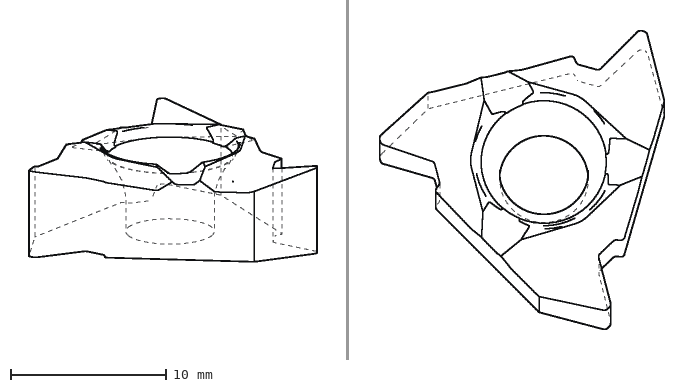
import cadquery as cq
import math


TEETH = 3
HEIGHT = 5.83
APOTHEM = 6.35

TOOTH_X = -3.84
TOOTH_TIP_Y = -9.91
TOOTH_HALF_ANGLE = 30.6
TIP_WIDTH = 0.5
TIP_RADIUS = 0.33
ROOT_Y = -6.83
ROOT_RADIUS = 0.25
NOTCH_END_X = -0.3
NOTCH_RADIUS = 0.28
BUMP_X = 0.1
BUMP_RADIUS = 0.22

FLOOR_Z = 4.63
RAKE_ANGLE = 15
RAKE_START_Y = -5.7
BEND_X = -1.1
WALL_FOOT_Y = -5.55
WALL_TOP_Y = -4.65
FOOT_TURN_ANGLE = 21
TOP_TURN_ANGLE = 27.5
BEND_LENGTH = 0.5
RAKE_BLEND_LENGTH = 0.05
FLOOR_EDGE_Y = RAKE_START_Y + RAKE_BLEND_LENGTH
FOOT_BLEND_RADIUS = 0.15

CHANNEL_ANGLE = 194
CHANNEL_FLOOR_Z = 5.05
CHANNEL_FLOOR_WIDTH = 1.15
CHANNEL_TOP_WIDTH = 3.06
CHANNEL_BLEND_RADIUS = 0.24

BORE_RADIUS = 5.7 / 2
FLARE_START_Z = 2.07
FLARE_RADIUS = 4.1
RIM_RADIUS = 3.9
LIP_RADIUS = 4.05
RECESS_Z = 5.11
RECESS_WALL_RADIUS = 4.19
RECESS_TOP_RADIUS = 4.47
RECESS_BLEND_RADIUS = 0.17
RECESS_EDGE_RADIUS = 0.15

PICK_MARGIN = 0.02
REACH = 12.92


def rotated(point, degrees):
    angle = math.radians(degrees)
    x, y = point
    return (x * math.cos(angle) - y * math.sin(angle), x * math.sin(angle) + y * math.cos(angle))


def tooth_corners():
    """Sharp corners of one third of the outline, each with its rounding radius."""
    slope = math.tan(math.radians(TOOTH_HALF_ANGLE))
    tip_left = TOOTH_X - TIP_WIDTH / 2
    tip_right = TOOTH_X + TIP_WIDTH / 2
    side_y = TOOTH_TIP_Y + (tip_left + APOTHEM) / slope
    root_x = tip_right + (ROOT_Y - TOOTH_TIP_Y) * slope
    bump_y = (BUMP_X * math.cos(math.pi / TEETH) - APOTHEM) / math.sin(math.pi / TEETH)
    return [
        ((-APOTHEM, side_y), 0),
        ((tip_left, TOOTH_TIP_Y), TIP_RADIUS),
        ((tip_right, TOOTH_TIP_Y), TIP_RADIUS),
        ((root_x, ROOT_Y), ROOT_RADIUS),
        ((NOTCH_END_X, ROOT_Y), NOTCH_RADIUS),
        ((BUMP_X, bump_y), BUMP_RADIUS),
    ]


def make_blank():
    corners = []
    for i in range(TEETH):
        for point, radius in tooth_corners():
            corners.append((rotated(point, i * 360 / TEETH), radius))
    blank = cq.Workplane("XY").polyline([point for point, _ in corners]).close().extrude(HEIGHT)
    for (x, y), radius in corners:
        if radius > 0:
            edge = cq.selectors.NearestToPointSelector((x, y, HEIGHT / 2))
            blank = blank.edges("|Z").edges(edge).fillet(radius)
    return blank


def make_rake_cutter():
    """Space above the sloping tooth face, which blends into the floor."""
    rake = math.radians(RAKE_ANGLE)
    blend_radius = RAKE_BLEND_LENGTH / math.tan(rake / 2)
    blend_mid_y = FLOOR_EDGE_Y - blend_radius * math.sin(rake / 2)
    blend_mid_z = FLOOR_Z + blend_radius * (1 - math.cos(rake / 2))
    blend_end_y = RAKE_START_Y - RAKE_BLEND_LENGTH * math.cos(rake)
    blend_end_z = FLOOR_Z + RAKE_BLEND_LENGTH * math.sin(rake)
    return (
        cq.Workplane("YZ", origin=(-REACH, 0, 0))
        .moveTo(FLOOR_EDGE_Y, FLOOR_Z)
        .threePointArc((blend_mid_y, blend_mid_z), (blend_end_y, blend_end_z))
        .lineTo(-REACH, FLOOR_Z + (REACH + RAKE_START_Y) * math.tan(rake))
        .lineTo(-REACH, REACH)
        .lineTo(FLOOR_EDGE_Y, REACH)
        .close()
        .extrude(2 * REACH)
    )


def wall_outline(plane, wall_y, turn_angle):
    """Floor space at one level: a straight wall line with a rounded bend."""
    turn = math.radians(turn_angle)
    left_y = wall_y + (BEND_X + REACH) * math.tan(turn)
    bend_end = (BEND_X - BEND_LENGTH * math.cos(turn), wall_y + BEND_LENGTH * math.sin(turn))
    return (
        plane.moveTo(REACH, FLOOR_EDGE_Y)
        .lineTo(REACH, wall_y)
        .lineTo(BEND_X + BEND_LENGTH, wall_y)
        .tangentArcPoint(bend_end, relative=False)
        .lineTo(-REACH, left_y)
        .lineTo(-REACH, FLOOR_EDGE_Y)
        .close()
    )


def make_wall_cutter():
    foot = wall_outline(cq.Workplane("XY", origin=(0, 0, FLOOR_Z)), WALL_FOOT_Y, FOOT_TURN_ANGLE)
    both = wall_outline(foot.workplane(offset=HEIGHT - FLOOR_Z), WALL_TOP_Y, TOP_TURN_ANGLE)
    wall_space = both.loft(ruled=True)
    foot_edges = cq.selectors.BoxSelector(
        (PICK_MARGIN - REACH, WALL_FOOT_Y - PICK_MARGIN, FLOOR_Z - PICK_MARGIN),
        (REACH - PICK_MARGIN, 0, FLOOR_Z + PICK_MARGIN),
    )
    return wall_space.faces("<Z").edges(foot_edges).fillet(FOOT_BLEND_RADIUS)


def make_channel_cutter():
    return (
        cq.Workplane("YZ")
        .moveTo(-CHANNEL_FLOOR_WIDTH / 2, CHANNEL_FLOOR_Z)
        .lineTo(CHANNEL_FLOOR_WIDTH / 2, CHANNEL_FLOOR_Z)
        .lineTo(CHANNEL_TOP_WIDTH / 2, HEIGHT)
        .lineTo(-CHANNEL_TOP_WIDTH / 2, HEIGHT)
        .close()
        .extrude(REACH)
        .faces("<Z")
        .edges("|X")
        .fillet(CHANNEL_BLEND_RADIUS)
        .rotate((0, 0, 0), (0, 0, 1), CHANNEL_ANGLE)
    )


def flare_point(radius):
    """Point of the flare arc, which leaves the bore tangentially."""
    across = FLARE_RADIUS - (radius - BORE_RADIUS)
    return (radius, FLARE_START_Z + math.sqrt(FLARE_RADIUS**2 - across**2))


def make_bore_cutter():
    bore = (
        cq.Workplane("XZ")
        .lineTo(BORE_RADIUS, 0)
        .lineTo(BORE_RADIUS, FLARE_START_Z)
        .threePointArc(flare_point((BORE_RADIUS + RIM_RADIUS) / 2), flare_point(RIM_RADIUS))
        .lineTo(LIP_RADIUS, RECESS_Z)
        .lineTo(RECESS_WALL_RADIUS, RECESS_Z)
        .lineTo(RECESS_TOP_RADIUS, HEIGHT)
        .lineTo(0, HEIGHT)
        .close()
        .revolve(360, (0, 0, 0), (0, 1, 0))
    )
    wall_foot = cq.selectors.RadiusNthSelector(-2)
    return bore.faces("|Z").edges(wall_foot).fillet(RECESS_BLEND_RADIUS)


def round_recess_edge(body):
    outer_circle = cq.selectors.RadiusNthSelector(-1)
    return body.faces(">Z").edges("%CIRCLE").edges(outer_circle).fillet(RECESS_EDGE_RADIUS)


def cut_at_every_tooth(body, cutter):
    for i in range(TEETH):
        body = body.cut(cutter.rotate((0, 0, 0), (0, 0, 1), i * 360 / TEETH))
    return body


result = make_blank().cut(make_bore_cutter())
result = round_recess_edge(result)
result = cut_at_every_tooth(result, make_rake_cutter())
result = cut_at_every_tooth(result, make_wall_cutter())
result = cut_at_every_tooth(result, make_channel_cutter()).solids()